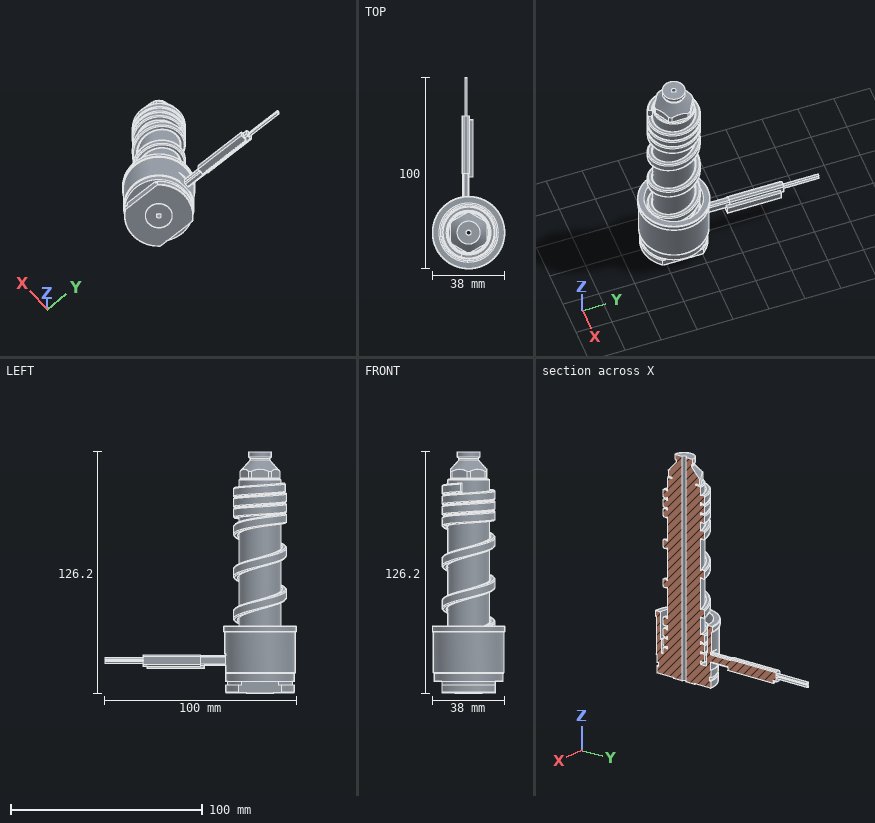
import cadquery as cq
import math

FLANGE_RADIUS = 19.0
BODY_RADIUS = 18.5
COLLAR_RADIUS = 18.0
FOOT_NECK_RADIUS = 17.0
FOOT_DISC_RADIUS = 7.0
FOOT_ACROSS_FLATS = 28.0
BORE_RADIUS = 15.5
LOWER_BORE_RADIUS = 14.7
FOOT_BOTTOM_Z = 0.4
FOOT_NECK_Z = 4.5
FOOT_TOP_Z = 6.4
BODY_BOTTOM_Z = 10.6
BORE_LEDGE_Z = 20.0
CABLE_FLAT_TOP_Z = 20.8
FLANGE_BOTTOM_Z = 32.1
HOUSING_TOP_Z = 35.4
CABLE_FLAT_Y = 17.9
EDGE_CHAMFER = 0.3

TOTAL_HEIGHT = 126.2
CHANNEL_RADIUS = 1.25
BARREL_RADIUS = 11.0
BARREL_CHAMFER = 0.5
BARREL_TOP_Z = 112.1
NECK_RADIUS = 8.0
HEX_BOTTOM_Z = 112.6
HEX_ACROSS_FLATS = 19.0
HEX_CORNER_RADIUS = 10.5
CONE_BOTTOM_Z = 116.1
CONE_TOP_Z = 121.9
GROOVE_RADIUS = 5.2
GROOVE_TOP_Z = 122.9
CAP_UNDERSIDE_Z = 123.5
CAP_RADIUS = 6.0

COIL_CLEARANCE = 0.1
COIL_INNER_RADIUS = BARREL_RADIUS + COIL_CLEARANCE
COIL_OUTER_RADIUS = 13.9
COIL_MEAN_RADIUS = (COIL_INNER_RADIUS + COIL_OUTER_RADIUS) / 2
COIL_WIDTH = COIL_OUTER_RADIUS - COIL_INNER_RADIUS
COIL_HEIGHT = 5.0
COIL_CHAMFER = 0.6
CLOSED_PITCH = 5.4
OPEN_PITCH = 22.0
TOP_END_ANGLE = 252.5
TOP_END_Z = 107.5
OPENING_ANGLE = 240.0
BOTTOM_CLOSED_TURNS = 3.0
TOP_CLOSED_TURNS = 3.0 + (TOP_END_ANGLE - OPENING_ANGLE) / 360
RAMP_TURNS = 0.38
OPEN_TURNS = 2.75 - RAMP_TURNS
POINTS_PER_TURN = 16

SPRING_STRETCHES = [
    (TOP_CLOSED_TURNS, CLOSED_PITCH, CLOSED_PITCH),
    (RAMP_TURNS, CLOSED_PITCH, OPEN_PITCH),
    (OPEN_TURNS, OPEN_PITCH, OPEN_PITCH),
    (RAMP_TURNS, OPEN_PITCH, CLOSED_PITCH),
    (BOTTOM_CLOSED_TURNS, CLOSED_PITCH, CLOSED_PITCH),
]


def stretch_drop(turns, top_pitch, bottom_pitch):
    """Height lost over one stretch of the spring."""
    return turns * (top_pitch + bottom_pitch) / 2


BORE_FLOOR_Z = TOP_END_Z - sum(stretch_drop(*stretch) for stretch in SPRING_STRETCHES)

CABLE_X = -1.4
CABLE_Z = 17.25
CABLE_START_Y = 17.0
LEAD_WIDTH = 3.4
LEAD_HEIGHT = 5.1
LEAD_CHAMFER = 0.7
SLEEVE_START_Y = 31.0
SLEEVE_LENGTH = 30.0
SLEEVE_END_Y = SLEEVE_START_Y + SLEEVE_LENGTH
SLEEVE_WIDTH = 4.0
SLEEVE_HEIGHT = 6.0
SLEEVE_CHAMFER = 1.0
TAG_START_Y = 29.0
TAG_RIGHT_X = 2.4
TAG_BOTTOM_Z = 13.1
WIRE_END_Y = 81.0
WIRE_RADIUS = 0.6
WIRE_SPACING = 1.9


def cylinder(radius, bottom, top):
    return cq.Workplane("XY", origin=(0, 0, bottom)).circle(radius).extrude(top - bottom)


def foot():
    base = cylinder(COLLAR_RADIUS, FOOT_BOTTOM_Z, FOOT_NECK_Z).faces("<Z").chamfer(EDGE_CHAMFER)
    neck = cylinder(FOOT_NECK_RADIUS, FOOT_NECK_Z, FOOT_TOP_Z)
    between_flats = cq.Workplane("XY").rect(FOOT_ACROSS_FLATS, 2 * COLLAR_RADIUS).extrude(FOOT_TOP_Z)
    disc = cylinder(FOOT_DISC_RADIUS, 0, FOOT_BOTTOM_Z)
    return base.union(neck).intersect(between_flats).union(disc)


def housing_body():
    """Main wall, with a flat on the +Y side where the cable leaves."""
    body = cylinder(BODY_RADIUS, BODY_BOTTOM_Z, FLANGE_BOTTOM_Z).faces("<Z").chamfer(EDGE_CHAMFER)
    flat_depth = BODY_RADIUS - CABLE_FLAT_Y
    beyond_flat = (
        cq.Workplane("XY", origin=(0, CABLE_FLAT_Y + flat_depth / 2, BODY_BOTTOM_Z))
        .rect(2 * BODY_RADIUS, flat_depth)
        .extrude(CABLE_FLAT_TOP_Z - BODY_BOTTOM_Z)
    )
    return body.cut(beyond_flat)


def housing():
    collar = cylinder(COLLAR_RADIUS, FOOT_TOP_Z, BODY_BOTTOM_Z)
    flange = cylinder(FLANGE_RADIUS, FLANGE_BOTTOM_Z, HOUSING_TOP_Z).edges().chamfer(EDGE_CHAMFER)
    shell = foot().union(collar).union(housing_body()).union(flange)
    bore = cylinder(BORE_RADIUS, BORE_LEDGE_Z, HOUSING_TOP_Z)
    lower_bore = cylinder(LOWER_BORE_RADIUS, BORE_FLOOR_Z, BORE_LEDGE_Z)
    return shell.cut(bore).cut(lower_bore)


def barrel():
    return cylinder(BARREL_RADIUS, FOOT_TOP_Z, BARREL_TOP_Z).faces(">Z").chamfer(BARREL_CHAMFER)


def nozzle():
    """Turned cone and cap whose lower end is cut to a hexagon, on a short neck."""
    turned = (
        cq.Workplane("XZ")
        .polyline([
            (0, HEX_BOTTOM_Z),
            (HEX_CORNER_RADIUS, HEX_BOTTOM_Z),
            (HEX_CORNER_RADIUS, CONE_BOTTOM_Z),
            (GROOVE_RADIUS, CONE_TOP_Z),
            (GROOVE_RADIUS, GROOVE_TOP_Z),
            (CAP_RADIUS, CAP_UNDERSIDE_Z),
            (CAP_RADIUS, TOTAL_HEIGHT),
            (0, TOTAL_HEIGHT),
        ])
        .close()
        .revolve(360, (0, 0), (0, 1))
    )
    hexagon = (
        cq.Workplane("XY", origin=(0, 0, HEX_BOTTOM_Z))
        .polygon(6, HEX_ACROSS_FLATS, circumscribed=True)
        .extrude(TOTAL_HEIGHT - HEX_BOTTOM_Z)
    )
    neck = cylinder(NECK_RADIUS, BARREL_TOP_Z, HEX_BOTTOM_Z)
    return turned.intersect(hexagon).union(neck)


def coil_path(top_angle, top_z, turns, top_pitch, bottom_pitch):
    """Centre line wound downwards; its pitch changes evenly from top to bottom."""
    pitch_rate = (bottom_pitch - top_pitch) / turns

    def centre(turn):
        angle = math.radians(top_angle - 360 * turn)
        z = top_z - top_pitch * turn - pitch_rate * turn**2 / 2
        return cq.Vector(COIL_MEAN_RADIUS * math.cos(angle), COIL_MEAN_RADIUS * math.sin(angle), z)

    def advance(turn):
        """Rate of travel of the centre line per turn."""
        angle = math.radians(top_angle - 360 * turn)
        circumference = 2 * math.pi * COIL_MEAN_RADIUS
        drop_rate = top_pitch + pitch_rate * turn
        return cq.Vector(circumference * math.sin(angle), -circumference * math.cos(angle), -drop_rate)

    intervals = math.ceil(turns * POINTS_PER_TURN)
    steps = [turns * i / intervals for i in range(intervals + 1)]
    points = [centre(step) for step in steps]
    end_tangents = [advance(0), advance(turns)]
    return cq.Edge.makeSpline(points, end_tangents, parameters=steps, scale=False)


def spring():
    angle = TOP_END_ANGLE
    z = TOP_END_Z
    edges = []
    for turns, top_pitch, bottom_pitch in SPRING_STRETCHES:
        edges.append(coil_path(angle, z, turns, top_pitch, bottom_pitch))
        angle -= 360 * turns
        z -= stretch_drop(turns, top_pitch, bottom_pitch)
    path = cq.Workplane(cq.Wire.assembleEdges(edges))

    start = math.radians(TOP_END_ANGLE)
    top_end = cq.Plane(
        origin=edges[0].startPoint(),
        xDir=(math.cos(start), math.sin(start), 0),
        normal=(math.sin(start), -math.cos(start), 0),
    )
    section = cq.Sketch().rect(COIL_WIDTH, COIL_HEIGHT).vertices().chamfer(COIL_CHAMFER)
    return cq.Workplane(top_end).placeSketch(section).sweep(path, isFrenet=True)


def chamfered_bar(width, height, chamfer, start_y, end_y):
    """Bar along Y, centred on the cable, with its long edges chamfered."""
    bar = cq.Workplane("XZ", origin=(CABLE_X, start_y, CABLE_Z)).rect(width, height).extrude(start_y - end_y)
    return bar.edges("|Y").chamfer(chamfer)


def wire(z):
    section = cq.Workplane("XZ", origin=(CABLE_X, SLEEVE_END_Y, z)).circle(WIRE_RADIUS)
    return section.extrude(SLEEVE_END_Y - WIRE_END_Y)


def cable():
    lead = chamfered_bar(LEAD_WIDTH, LEAD_HEIGHT, LEAD_CHAMFER, CABLE_START_Y, SLEEVE_START_Y)
    sleeve = chamfered_bar(SLEEVE_WIDTH, SLEEVE_HEIGHT, SLEEVE_CHAMFER, SLEEVE_START_Y, SLEEVE_END_Y)
    tag = cq.Workplane("XY", origin=(CABLE_X, TAG_START_Y, TAG_BOTTOM_Z)).box(
        TAG_RIGHT_X - CABLE_X, SLEEVE_LENGTH, CABLE_Z - TAG_BOTTOM_Z, centered=False
    )
    assembly = lead.union(sleeve).union(tag)
    for side in (-1, 1):
        assembly = assembly.union(wire(CABLE_Z + side * WIRE_SPACING / 2))
    return assembly


result = housing().union(spring()).union(barrel()).union(nozzle()).union(cable())
result = result.cut(cylinder(CHANNEL_RADIUS, 0, TOTAL_HEIGHT))